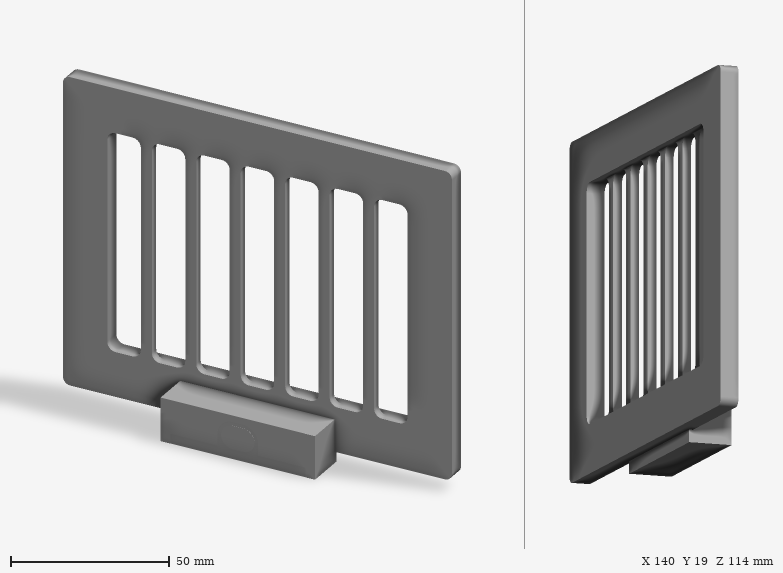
import cadquery as cq

plate_width = 140.0
plate_height = 109.9
plate_thickness = 6.0
plate_corner_radius = 2.5

slot_count = 7
slot_margin = 16.0
slot_width = 12.0
slot_corner_radius = 3.0
slot_height = plate_height - 2 * slot_margin
bar_depth = 3.0
slot_pitch = (plate_width - 2 * slot_margin - slot_width) / (slot_count - 1)

overall_height = 114.0
overall_depth = 19.0
block_width = 55.6
block_height = 15.5
block_depth = 14.3
block_bottom = plate_height - overall_height
block_front = plate_thickness - overall_depth

recess_depth = 0.07
foot_width = 48.6
foot_height = 3.5
button_width = 12.0
button_height = 8.4
button_center_height = 7.7
button_border = 1.33
button_center_z = block_bottom + button_center_height


def front_box(width, height, front_y, depth, bottom_z):
    """Box centred in X, extending in +Y from front_y and up from bottom_z."""
    box = cq.Workplane("XY").box(width, depth, height, centered=(True, False, False))
    return box.translate((0, front_y, bottom_z))


def oval(width, height):
    """Round-ended oval, as deep as the recess, at the button position."""
    face = cq.Workplane("XZ", origin=(0, block_front, button_center_z))
    return face.slot2D(width, height).extrude(-recess_depth)


def window(width, front_y, depth):
    """Round-cornered cutter with the height of the slots."""
    cutter = front_box(width, slot_height, front_y, depth, slot_margin)
    return cutter.edges("|Y").fillet(slot_corner_radius)


def make_grille():
    plate = front_box(plate_width, plate_height, 0, plate_thickness, 0)
    plate = plate.edges("|Y").fillet(plate_corner_radius)
    rear_pocket = window(plate_width - 2 * slot_margin, bar_depth, plate_thickness - bar_depth)
    plate = plate.cut(rear_pocket)
    slot = window(slot_width, 0, plate_thickness)
    for index in range(slot_count):
        x = (index - (slot_count - 1) / 2) * slot_pitch
        plate = plate.cut(slot.translate((x, 0, 0)))
    return plate


def make_recess():
    dome_width = button_width + 2 * button_border
    dome_height = button_height + 2 * button_border
    foot = front_box(foot_width, foot_height, block_front, recess_depth, block_bottom)
    neck = front_box(dome_width, button_center_height, block_front, recess_depth, block_bottom)
    dome = oval(dome_width, dome_height)
    return foot.union(neck).union(dome).cut(oval(button_width, button_height))


block = front_box(block_width, block_height, block_front, block_depth, block_bottom)
result = make_grille().union(block).cut(make_recess())